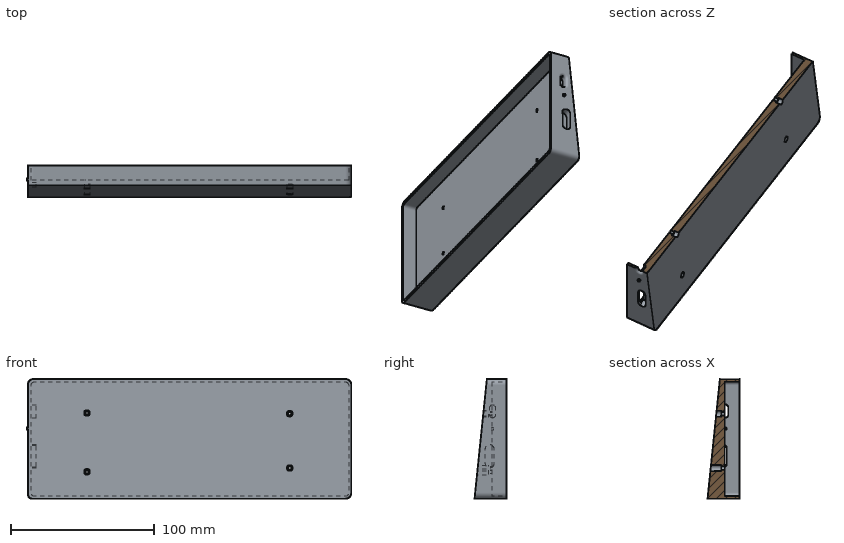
import cadquery as cq

OVERALL_LENGTH = 226.0
HEIGHT = 83.5
BOTTOM_DEPTH = 22.4
TOP_DEPTH = 13.8

PIN_DIAMETER = 1.8
PIN_PROTRUSION = 1.0
PIN_HEIGHT = 48.8

HOUSING_LENGTH = OVERALL_LENGTH - PIN_PROTRUSION

RIGHT_CORNER_RADIUS = 4.3
UPPER_LEFT_RADIUS = 3.8
LOWER_LEFT_RADIUS = 3.2

WALL = 2.0
FLOOR_DEPTH = 10.2
CAVITY_CORNER_RADIUS = RIGHT_CORNER_RADIUS - WALL

UPPER_PORT_DEPTH = 10.0
SMALL_PORT_WIDTH = 4.0
SMALL_PORT_LENGTH = 9.0
SMALL_PORT_HEIGHT = 61.0
SMALL_PORT_ROUNDING = 1.8
LARGE_PORT_WIDTH = 6.0
LARGE_PORT_LENGTH = 16.3
LARGE_PORT_DEPTH = 12.0
LARGE_PORT_HEIGHT = 29.8
PORT_REACH = 5.7

SCREW_HOLE_DIAMETER = 2.2
COUNTERBORE_DIAMETER = 4.0
SCREW_WEB = 2.7
SCREW_LEFT_X = 41.1
SCREW_RIGHT_X = 182.2
SCREW_LEFT_UPPER_Z = 59.7
SCREW_RIGHT_UPPER_Z = 59.2
SCREW_LEFT_LOWER_Z = 18.8
SCREW_RIGHT_LOWER_Z = 21.5
SCREW_POSITIONS = [
    (SCREW_LEFT_X, SCREW_LEFT_LOWER_Z),
    (SCREW_LEFT_X, SCREW_LEFT_UPPER_Z),
    (SCREW_RIGHT_X, SCREW_RIGHT_LOWER_Z),
    (SCREW_RIGHT_X, SCREW_RIGHT_UPPER_Z),
]


def make_wedge():
    """Solid wedge, deeper at the bottom, with its four long corners rounded."""
    wedge = (
        cq.Workplane("YZ")
        .polyline([(0, 0), (-BOTTOM_DEPTH, 0), (-TOP_DEPTH, HEIGHT), (0, HEIGHT)])
        .close()
        .extrude(HOUSING_LENGTH)
    )
    wedge = wedge.faces("<X").edges(">Z").fillet(UPPER_LEFT_RADIUS)
    wedge = wedge.faces("<X").edges("<Z").fillet(LOWER_LEFT_RADIUS)
    return wedge.faces(">X").edges("<Z or >Z").fillet(RIGHT_CORNER_RADIUS)


def make_cavity():
    """Flat-floored cavity that leaves an even wall on all four sides."""
    return (
        cq.Workplane("XZ", origin=(HOUSING_LENGTH / 2, 0, HEIGHT / 2))
        .rect(HOUSING_LENGTH - 2 * WALL, HEIGHT - 2 * WALL)
        .extrude(FLOOR_DEPTH)
        .edges("|Y")
        .fillet(CAVITY_CORNER_RADIUS)
    )


def make_slot(depth, height, length, width):
    """Round-ended upright slot that runs inward from the left face."""
    return (
        cq.Workplane("YZ", origin=(0, -depth, height))
        .slot2D(length, width, angle=90)
        .extrude(PORT_REACH)
    )


def cut_small_port(body):
    """Cut the upper slot and round over its mouth at the left face."""
    slot = make_slot(UPPER_PORT_DEPTH, SMALL_PORT_HEIGHT, SMALL_PORT_LENGTH, SMALL_PORT_WIDTH)
    body = body.cut(slot)
    mouth = body.faces("<X").val().innerWires()[0]
    return body.newObject(mouth.Edges()).fillet(SMALL_PORT_ROUNDING)


def make_large_port():
    """Plain round-ended slot below the light pin."""
    return make_slot(LARGE_PORT_DEPTH, LARGE_PORT_HEIGHT, LARGE_PORT_LENGTH, LARGE_PORT_WIDTH)


def make_screw_hole(x, z):
    """Through hole along Y with a wider counterbore open to the sloping front."""
    hole = cq.Workplane("XZ", origin=(x, 0, z)).circle(SCREW_HOLE_DIAMETER / 2).extrude(BOTTOM_DEPTH)
    seat_depth = FLOOR_DEPTH + SCREW_WEB
    counterbore = (
        cq.Workplane("XZ", origin=(x, -seat_depth, z))
        .circle(COUNTERBORE_DIAMETER / 2)
        .extrude(BOTTOM_DEPTH - seat_depth)
    )
    return hole.union(counterbore)


def make_light_pin():
    """Round pin that fills its hole in the left wall and stands proud of it."""
    return (
        cq.Workplane("YZ", origin=(-PIN_PROTRUSION, -UPPER_PORT_DEPTH, PIN_HEIGHT))
        .circle(PIN_DIAMETER / 2)
        .extrude(PIN_PROTRUSION + WALL)
    )


def make_housing(pin):
    """Hollow wedge with its port openings, screw holes and a hole that fits the pin."""
    housing = cut_small_port(make_wedge().cut(make_cavity())).cut(make_large_port())
    for x, z in SCREW_POSITIONS:
        housing = housing.cut(make_screw_hole(x, z))
    return housing.cut(pin)


light_pin = make_light_pin()
housing = make_housing(light_pin)

result = cq.Compound.makeCompound([housing.val(), light_pin.val()])